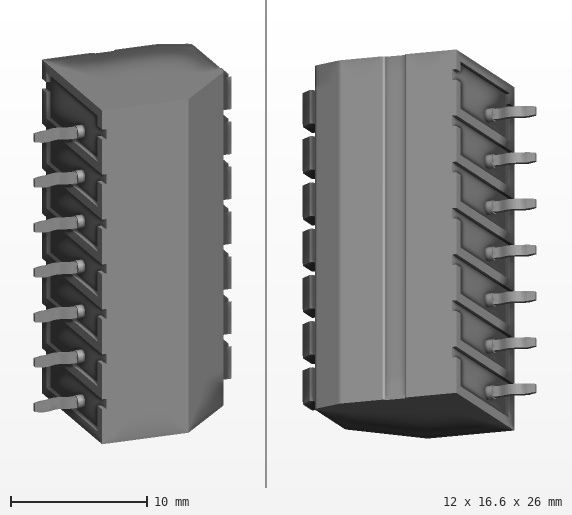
import cadquery as cq
import math

HEIGHT = 26.0
WIDTH = 12.0
DEPTH = 11.5
BACK_CHAMFER = 4.68
BACK_CHAMFER_FILLET = 0.52
LEFT_BEVEL_WIDTH = 0.85
LEFT_BEVEL_LENGTH = 2.35
LEFT_BEVEL_REAR_FILLET = 0.42
LEFT_BEVEL_SIDE_FILLET = 0.65

GROOVE_DEPTH = 0.2
GROOVE_FRONT = 3.9
GROOVE_REAR = 5.82

POLE_COUNT = 7
TOP_POLE_HEIGHT = 5.0
PITCH = (HEIGHT - TOP_POLE_HEIGHT) / (POLE_COUNT - 1)
POLE_FLOORS = [i * PITCH for i in range(POLE_COUNT)]

RECESS_DEPTH = 0.35
FRAME_WALL = 0.88
FRAME_SILL = 0.7
FRAME_HEIGHT = 2.7

PIN_X = 7.28
PIN_RISE = PITCH / 2
COLLAR_DIAMETER = 1.01
COLLAR_LENGTH = 0.2
PIN_LENGTH = 3.48
PIN_THICKNESS = 0.45
PIN_HEIGHT = 0.78
PIN_STRAIGHT = 0.6
BEND_RADIUS = 1.05
BEND_ANGLE = 20.0
BEND_STRAIGHT = 0.36
TIP_LENGTH = 0.62
TIP_THICKNESS = 0.3
TIP_HEIGHT = 0.62

BUTTON_LEFT = 2.47
BUTTON_RIGHT = 4.7
BUTTON_LENGTH = 1.6
BUTTON_RISE = 0.95
BUTTON_HEIGHT = PITCH - BUTTON_RISE
HOOK_LEFT = 2.03
HOOK_ROOT = 0.42
HOOK_FLAT_START = 0.55
HOOK_FLAT_END = 0.75
RAMP_START = 0.9
RAMP_LEFT = 2.13
HOOK_ROUND = 0.25
RAMP_RIGHT = 2.7
RIGHT_NICK_WIDTH = 0.65
RIGHT_NICK_RUN = 1.1
RIGHT_NICK_DEPTH = 0.52
RIGHT_NICK_LENGTH = 0.7
RAMP_NICK_WIDTH = 0.1
RAMP_NICK_RUN = 0.29
RAMP_NICK_HEIGHT = 0.62


def tetrahedron(a, b, c, d):
    """Solid with the four given corner points."""
    triangles = [(a, b, c), (a, b, d), (b, c, d), (a, c, d)]
    wires = [cq.Wire.makePolygon([cq.Vector(*p) for p in t], close=True) for t in triangles]
    faces = [cq.Face.makeFromWires(w) for w in wires]
    return cq.Workplane(obj=cq.Solid.makeSolid(cq.Shell.makeShell(faces)))


def fillet_edge(body, x, y, radius):
    """Round the vertical edge that is nearest to (x, y)."""
    edge = cq.selectors.NearestToPointSelector((x, y, HEIGHT / 2))
    return body.edges("|Z").edges(edge).fillet(radius)


def make_housing():
    bevel_front = DEPTH - LEFT_BEVEL_LENGTH
    chamfer_left = WIDTH - BACK_CHAMFER
    body = (
        cq.Workplane("XY")
        .polyline([
            (0, 0),
            (WIDTH, 0),
            (WIDTH, DEPTH - BACK_CHAMFER),
            (chamfer_left, DEPTH),
            (LEFT_BEVEL_WIDTH, DEPTH),
            (0, bevel_front),
        ])
        .close()
        .extrude(HEIGHT)
    )
    body = fillet_edge(body, chamfer_left, DEPTH, BACK_CHAMFER_FILLET)
    body = fillet_edge(body, LEFT_BEVEL_WIDTH, DEPTH, LEFT_BEVEL_REAR_FILLET)
    return fillet_edge(body, 0, bevel_front, LEFT_BEVEL_SIDE_FILLET)


def make_groove():
    """Both ends run out to the left face in a convex rounding."""
    return (
        cq.Workplane("XY")
        .moveTo(0, GROOVE_FRONT)
        .radiusArc((GROOVE_DEPTH, GROOVE_FRONT + GROOVE_DEPTH), GROOVE_DEPTH)
        .lineTo(GROOVE_DEPTH, GROOVE_REAR - GROOVE_DEPTH)
        .radiusArc((0, GROOVE_REAR), GROOVE_DEPTH)
        .close()
        .extrude(HEIGHT)
    )


def make_recess(floor, top):
    """Recess of one pole: open to the sides above the frame walls."""
    inner = cq.Workplane("XY").box(
        WIDTH - 2 * FRAME_WALL, RECESS_DEPTH, top - floor - FRAME_SILL, centered=False
    ).translate((FRAME_WALL, 0, floor + FRAME_SILL))
    side_gap = cq.Workplane("XY").box(
        WIDTH, RECESS_DEPTH, PITCH - FRAME_HEIGHT, centered=False
    ).translate((0, 0, floor + FRAME_HEIGHT))
    return inner.union(side_gap)


def make_pin():
    """Collar and S-bent pin pointing to -Y, axis on z = 0."""
    collar = (
        cq.Workplane("XZ", origin=(PIN_X, RECESS_DEPTH, 0))
        .circle(COLLAR_DIAMETER / 2)
        .extrude(RECESS_DEPTH + COLLAR_LENGTH)
    )
    angle = math.radians(BEND_ANGLE)
    arc_run = BEND_RADIUS * math.sin(angle)
    arc_shift = BEND_RADIUS * (1 - math.cos(angle))
    slope_run = BEND_STRAIGHT * math.cos(angle)
    slope_shift = BEND_STRAIGHT * math.sin(angle)
    slope_x = PIN_X - arc_shift - slope_shift
    crest_x = slope_x - arc_shift
    slope_y = -PIN_STRAIGHT - arc_run
    crest_start = slope_y - slope_run
    crest_y = crest_start - arc_run
    crest_end = crest_y - arc_run
    tip_start = -PIN_LENGTH + TIP_LENGTH
    path = (
        cq.Workplane("XY")
        .moveTo(PIN_X, RECESS_DEPTH)
        .lineTo(PIN_X, -PIN_STRAIGHT)
        .radiusArc((PIN_X - arc_shift, slope_y), BEND_RADIUS)
        .lineTo(slope_x, crest_start)
        .radiusArc((crest_x, crest_y), -BEND_RADIUS)
        .radiusArc((slope_x, crest_end), -BEND_RADIUS)
        .lineTo(PIN_X - arc_shift, crest_end - slope_run)
        .radiusArc((PIN_X, crest_end - slope_run - arc_run), BEND_RADIUS)
        .lineTo(PIN_X, tip_start)
    )
    shank = (
        cq.Workplane("XZ", origin=(PIN_X, RECESS_DEPTH, 0))
        .rect(PIN_THICKNESS, PIN_HEIGHT)
        .sweep(path)
    )
    tip = (
        cq.Workplane("XZ", origin=(PIN_X, tip_start, 0))
        .rect(PIN_THICKNESS, PIN_HEIGHT)
        .workplane(offset=TIP_LENGTH)
        .rect(TIP_THICKNESS, TIP_HEIGHT)
        .loft()
    )
    return collar.union(shank).union(tip)


def make_button():
    """Hooked button standing on the rear face, bottom on z = 0."""
    end = DEPTH + BUTTON_LENGTH
    button = (
        cq.Workplane("XY")
        .moveTo(BUTTON_RIGHT, DEPTH)
        .lineTo(BUTTON_RIGHT, end)
        .lineTo(RAMP_RIGHT, end)
        .lineTo(RAMP_LEFT, DEPTH + RAMP_START)
        .radiusArc((HOOK_LEFT, DEPTH + HOOK_FLAT_END), -HOOK_ROUND)
        .lineTo(HOOK_LEFT, DEPTH + HOOK_FLAT_START)
        .lineTo(BUTTON_LEFT, DEPTH + HOOK_ROOT)
        .lineTo(BUTTON_LEFT, DEPTH)
        .close()
        .extrude(BUTTON_HEIGHT)
    )
    right_nick = tetrahedron(
        (BUTTON_RIGHT, end, BUTTON_HEIGHT),
        (BUTTON_RIGHT - RIGHT_NICK_WIDTH, end, BUTTON_HEIGHT),
        (BUTTON_RIGHT, end - RIGHT_NICK_RUN, BUTTON_HEIGHT),
        (BUTTON_RIGHT - RIGHT_NICK_WIDTH, end, BUTTON_HEIGHT - RIGHT_NICK_DEPTH),
    ).intersect(
        cq.Workplane("XY")
        .box(RIGHT_NICK_WIDTH, RIGHT_NICK_LENGTH, BUTTON_HEIGHT, centered=False)
        .translate((BUTTON_RIGHT - RIGHT_NICK_WIDTH, end - RIGHT_NICK_LENGTH, 0))
    )
    ramp_slope = (RAMP_RIGHT - RAMP_LEFT) / (BUTTON_LENGTH - RAMP_START)
    ramp_nick = tetrahedron(
        (RAMP_RIGHT, end, 0),
        (RAMP_RIGHT + RAMP_NICK_WIDTH, end, 0),
        (RAMP_RIGHT, end, RAMP_NICK_HEIGHT),
        (RAMP_RIGHT - RAMP_NICK_RUN * ramp_slope, end - RAMP_NICK_RUN, 0),
    )
    return button.cut(right_nick).cut(ramp_nick)


result = make_housing().cut(make_groove())
for pole_floor in POLE_FLOORS[:-1]:
    result = result.cut(make_recess(pole_floor, pole_floor + PITCH))
result = result.cut(make_recess(POLE_FLOORS[-1], HEIGHT - FRAME_SILL))

pin = make_pin()
button = make_button()
for pole_floor in POLE_FLOORS:
    result = result.union(pin.translate((0, 0, pole_floor + PIN_RISE)))
    result = result.union(button.translate((0, 0, pole_floor + BUTTON_RISE)))